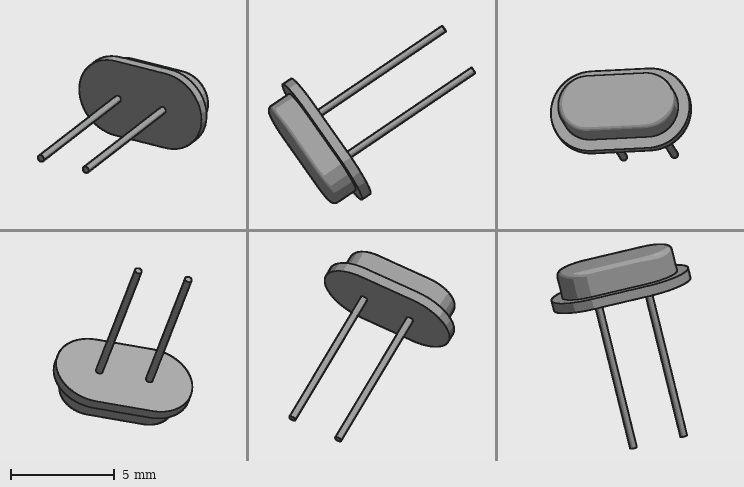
import cadquery as cq

total_length = 9.3

flange_width = 6.8
flange_height = 4.0
flange_thickness = 0.5

rim = 0.55
cap_depth = 1.3
cap_edge_radius = 0.26
cap_width = flange_width - 2 * rim
cap_height = flange_height - 2 * rim

lead_diameter = 0.34
lead_pitch = 2.49
lead_length = total_length - flange_thickness - cap_depth


def rounded_plate(width, height, start_y, thickness):
    """Plate with semicircular ends, extending toward +Y from start_y."""
    return (
        cq.Workplane("XZ", origin=(0, start_y, 0))
        .slot2D(width, height)
        .extrude(-thickness)
    )


def lead(center_x):
    """Round lead extending toward -Y from the flange face at Y = 0."""
    return (
        cq.Workplane("XZ", origin=(center_x, 0, 0))
        .circle(lead_diameter / 2)
        .extrude(lead_length)
    )


flange = rounded_plate(flange_width, flange_height, 0, flange_thickness)
cap = rounded_plate(cap_width, cap_height, flange_thickness, cap_depth)
cap = cap.faces(">Y").edges().fillet(cap_edge_radius)

result = flange.union(cap)
for side in (-1, 1):
    result = result.union(lead(side * lead_pitch / 2))